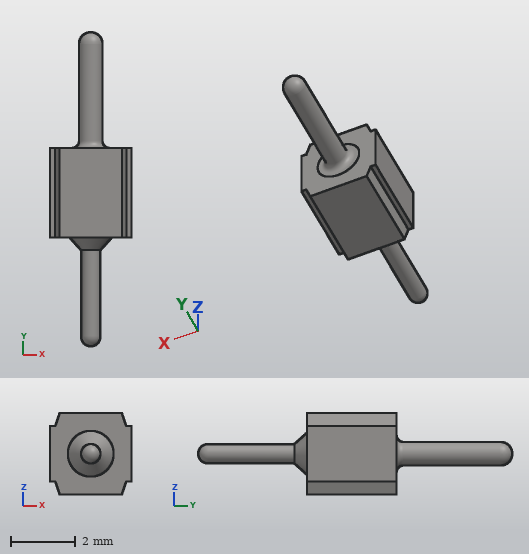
import cadquery as cq
import math

housing_width = 2.54
housing_length = 2.8
flat_half_width = 0.97
notch_foot_x = 1.11
shoulder_z = 0.87

overall_length = 9.78
front_pin_radius = 0.3
rear_pin_radius = 0.37
rear_pin_length = 3.6
front_pin_length = overall_length - housing_length - rear_pin_length
collar_radius = 0.71
cone_length = 0.39
edge_round_radius = 0.2
root_fillet_radius = 0.2

front_face_y = -housing_length / 2
rear_face_y = housing_length / 2
front_tip_y = front_face_y - front_pin_length
rear_tip_y = rear_face_y + rear_pin_length

half_arc = math.sqrt(0.5)


def make_housing():
    half_width = housing_width / 2
    corner = [
        (half_width, shoulder_z),
        (notch_foot_x, shoulder_z),
        (flat_half_width, half_width),
    ]
    upper = corner + [(-x, z) for x, z in reversed(corner)]
    lower = [(-x, -z) for x, z in upper]
    block = (
        cq.Workplane("XZ")
        .polyline(upper + lower)
        .close()
        .extrude(housing_length / 2, both=True)
    )
    bore = cq.Workplane("XZ").circle(collar_radius).extrude(housing_length / 2, both=True)
    return block.cut(bore)


def make_pin():
    round_center_r = collar_radius - edge_round_radius
    cone_base_radius = round_center_r + edge_round_radius * half_arc
    round_center_y = front_face_y + edge_round_radius * half_arc
    round_mid_angle = math.radians(22.5)
    round_mid = (
        round_center_r + edge_round_radius * math.cos(round_mid_angle),
        round_center_y - edge_round_radius * math.sin(round_mid_angle),
    )

    fillet_center_r = rear_pin_radius + root_fillet_radius
    fillet_center_y = rear_face_y + root_fillet_radius
    fillet_mid = (
        fillet_center_r - root_fillet_radius * half_arc,
        fillet_center_y - root_fillet_radius * half_arc,
    )

    front_dome_y = front_tip_y + front_pin_radius
    front_dome_mid = (front_pin_radius * half_arc, front_dome_y - front_pin_radius * half_arc)
    rear_dome_y = rear_tip_y - rear_pin_radius
    rear_dome_mid = (rear_pin_radius * half_arc, rear_dome_y + rear_pin_radius * half_arc)

    half_profile = (
        cq.Workplane("XY")
        .moveTo(0, front_tip_y)
        .threePointArc(front_dome_mid, (front_pin_radius, front_dome_y))
        .lineTo(front_pin_radius, front_face_y - cone_length)
        .lineTo(cone_base_radius, front_face_y)
        .threePointArc(round_mid, (collar_radius, round_center_y))
        .lineTo(collar_radius, rear_face_y)
        .lineTo(fillet_center_r, rear_face_y)
        .threePointArc(fillet_mid, (rear_pin_radius, fillet_center_y))
        .lineTo(rear_pin_radius, rear_dome_y)
        .threePointArc(rear_dome_mid, (0, rear_tip_y))
        .close()
    )
    return half_profile.revolve(360, (0, 0, 0), (0, 1, 0))


housing = make_housing()
pin = make_pin()

result = cq.Compound.makeCompound([housing.val(), pin.val()])